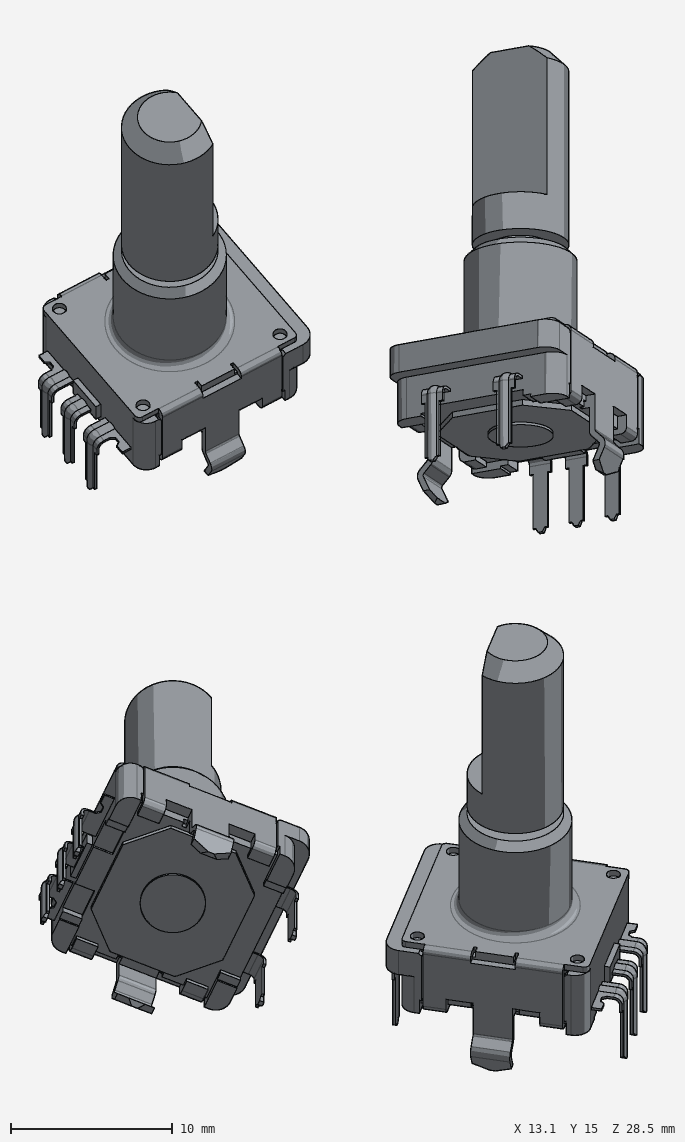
import cadquery as cq

shaft_top = 25.0
shaft_bottom = 12.57
shaft_radius = 3.0
shaft_chamfer = 1.0
flat_y = 1.48
flat_bottom = 15.0
neck_radius = 1.77
bushing_top = 12.0
bushing_radius = 3.5
bushing_chamfer = 0.5
bushing_fillet = 0.5

housing_width = 11.68
housing_half = housing_width / 2
housing_front = -5.98
housing_back = 6.0
housing_top = 4.55
corner_radius = 1.0
floor_z = 0.55
ledge_back = 7.0
ledge_bottom = 2.75
foot_inner_x = 3.82
foot_inner_y = 4.67
foot_step_top = 1.0
pocket_half_length = 4.53
pocket_flare = 0.2

opening_half = 3.3
opening_shoulder = 0.17
notch_inner_x = 1.4
notch_top = 0.75
pad_width = 2.55
pad_bottom = 1.03
pad_top = 2.25
pad_depth = 0.37

sheet = 0.4
cover_top = 5.0
cover_half_length = 4.45
cover_skirt_bottom = 1.37
bend_radius = 0.43
lid_half_width = 5.4
lid_back = 5.95
lid_corner = 0.28
lid_front_corner = 0.35
lid_hole_diameter = 0.85
lid_hole_x = 4.65
lid_hole_y = 5.1
relief_half_length = 1.42
relief_bottom = 4.4
slit_length = 0.45
slit_width = 0.2
crimp_inner_y = 3.0
crimp_bottom = 0.17
crimp_width = 1.15

plate_half_width = 4.7
plate_half_side = 2.2
base_disc_radius = 2.02

clip_width = 2.5
clip_knee_z = -1.03
clip_knee_inner_z = -1.2
clip_elbow_x = -6.67
clip_elbow_z = -1.85
clip_elbow_inner_x = -6.18
clip_elbow_inner_z = -1.95
clip_tip_x = -5.9
clip_tip_z = -3.5
clip_tip_inner_x = -5.53
clip_tip_inner_z = -3.33
clip_shoulder_z = -3.0
clip_tip_flat = 0.4
clip_bend_radius = 0.2
clip_recess_depth = 0.63
clip_notch_width = 0.28
clip_notch_depth = 0.28

terminal_bottom = -3.5
terminal_pitch = 2.5
terminal_front = -7.75
terminal_back = 7.2
terminal_sheet = 0.17
terminal_rib = 0.15
terminal_under_z = 1.28
terminal_inner_radius = 0.37
terminal_wide = 1.48
terminal_narrow = 1.0
terminal_shoulder_z = 0.37
terminal_flange_bottom = -3.22
rib_width = 0.65
rib_tip_width = 0.28
terminal_root = 0.57
ear_outer_x = 4.65
ear_depth = 0.65
ear_notch_depth = 0.28
ear_notch_outer_x = 4.02
ear_notch_outer_floor_x = 3.82
ear_notch_inner_floor_x = 3.45


def block(x0, x1, y0, y1, z0, z1):
    """Axis-aligned box between two opposite corners."""
    return cq.Workplane("XY").box(x1 - x0, y1 - y0, z1 - z0, centered=False).translate((x0, y0, z0))


def both_sides(shape):
    """The shape together with its mirror image across the YZ plane."""
    return shape.union(shape.mirror("YZ"))


def make_shaft():
    """Bushing, neck and flatted shaft."""
    bushing_foot = bushing_radius + bushing_fillet
    fillet_top = cover_top + bushing_fillet
    fillet_middle = bushing_fillet * (1 - 0.5 ** 0.5)
    shaft = (
        cq.Workplane("XZ")
        .moveTo(0, housing_top)
        .lineTo(bushing_foot, housing_top)
        .lineTo(bushing_foot, cover_top)
        .threePointArc((bushing_radius + fillet_middle, cover_top + fillet_middle), (bushing_radius, fillet_top))
        .lineTo(bushing_radius, bushing_top - bushing_chamfer)
        .lineTo(bushing_radius - bushing_chamfer, bushing_top)
        .lineTo(neck_radius, bushing_top)
        .lineTo(neck_radius, shaft_bottom)
        .lineTo(shaft_radius, shaft_bottom)
        .lineTo(shaft_radius, shaft_top - shaft_chamfer)
        .lineTo(shaft_radius - shaft_chamfer, shaft_top)
        .lineTo(0, shaft_top)
        .close()
        .revolve(360, (0, 0, 0), (0, 1, 0))
    )
    flat = block(-shaft_radius, shaft_radius, flat_y, shaft_radius, flat_bottom, shaft_top)
    return shaft.cut(flat)


def make_side_pocket():
    """Recess on the -X side of the housing that takes the cover skirt."""
    flare = pocket_half_length + pocket_flare
    flare_z = housing_top - pocket_flare
    outline = [
        (-foot_inner_y, 0),
        (-foot_inner_y, foot_step_top),
        (-pocket_half_length, foot_step_top),
        (-pocket_half_length, flare_z),
        (-flare, housing_top),
        (flare, housing_top),
        (pocket_half_length, flare_z),
        (pocket_half_length, foot_step_top),
        (foot_inner_y, foot_step_top),
        (foot_inner_y, 0),
    ]
    return cq.Workplane("YZ").polyline(outline).close().extrude(sheet).translate((-housing_half, 0, 0))


def make_housing():
    """Moulded housing with corner feet, a rear ledge and a pad on the front."""
    housing = block(-housing_half, housing_half, housing_front, housing_back, 0, housing_top)
    housing = housing.edges("|Z").fillet(corner_radius)
    ledge = block(-housing_half, housing_half, 0, ledge_back, ledge_bottom, housing_top)
    housing = housing.union(ledge.edges("|Z and >Y").fillet(corner_radius))

    housing = housing.cut(both_sides(make_side_pocket()))
    housing = housing.cut(block(-housing_half, housing_half, -foot_inner_y, foot_inner_y, 0, floor_z))

    housing = housing.cut(block(-foot_inner_x, foot_inner_x, housing_front, housing_back, 0, opening_shoulder))
    housing = housing.cut(block(-opening_half, opening_half, housing_front, housing_back, 0, floor_z))
    wall_notch = block(-opening_half, -notch_inner_x, housing_front, -foot_inner_y, 0, notch_top)
    housing = housing.cut(both_sides(wall_notch))

    pad = block(-pad_width / 2, pad_width / 2, housing_front - pad_depth, housing_front, pad_bottom, pad_top)
    return housing.union(pad)


def make_cover():
    """Lid with skirts bent down the sides and crimped under the housing."""
    lid = block(-lid_half_width, lid_half_width, housing_front, lid_back, housing_top, cover_top)
    lid = lid.edges("|Z and >Y").fillet(lid_corner)
    lid = lid.edges("|Z and <Y").fillet(lid_front_corner)

    skirt = block(
        -housing_half, housing_half, -cover_half_length, cover_half_length, cover_skirt_bottom, cover_top
    )
    skirt = skirt.edges("|Y and >Z").fillet(bend_radius)
    cover = lid.union(skirt)

    for side in (-1, 1):
        slit_y = side * (relief_half_length - slit_width / 2)
        slit = block(
            -lid_half_width,
            -lid_half_width + slit_length,
            slit_y - slit_width / 2,
            slit_y + slit_width / 2,
            housing_top,
            cover_top,
        )
        cover = cover.cut(both_sides(slit))

        crimp_y = sorted((side * crimp_inner_y, side * cover_half_length))
        crimp = block(
            -housing_half, -housing_half + crimp_width, *crimp_y, crimp_bottom, cover_skirt_bottom
        )
        crimp = crimp.edges("|Y and <Z and <X").fillet(bend_radius)
        cover = cover.union(both_sides(crimp))
    return cover


def make_base():
    """Eight-sided plate under the housing with a round boss reaching the mounting plane."""
    plate = block(
        -plate_half_width, plate_half_width, -cover_half_length, cover_half_length, crimp_bottom, floor_z
    )
    plate = plate.edges("|Z").chamfer(cover_half_length - plate_half_side)
    return plate.union(cq.Workplane("XY").circle(base_disc_radius).extrude(floor_z))


def make_clip():
    """Snap-in clip on the -X side: bent outward, then back in to a pointed tip."""
    outer = -housing_half
    inner = outer + sheet
    strip = (
        cq.Workplane("XZ")
        .polyline([
            (inner, cover_skirt_bottom),
            (outer, cover_skirt_bottom),
            (outer, clip_knee_z),
            (clip_elbow_x, clip_elbow_z),
            (clip_tip_x, clip_tip_z),
            (clip_tip_inner_x, clip_tip_inner_z),
            (clip_elbow_inner_x, clip_elbow_inner_z),
            (inner, clip_knee_inner_z),
        ])
        .close()
        .extrude(clip_width / 2, both=True)
    )
    outer_bend = clip_bend_radius + sheet
    corners = [
        (outer, clip_knee_z, clip_bend_radius),
        (inner, clip_knee_inner_z, outer_bend),
        (clip_elbow_x, clip_elbow_z, outer_bend),
        (clip_elbow_inner_x, clip_elbow_inner_z, clip_bend_radius),
    ]
    for x, z, radius in corners:
        strip = strip.edges(cq.selectors.NearestToPointSelector((x, 0, z))).fillet(radius)

    half = clip_width / 2
    front_outline = (
        cq.Workplane("YZ")
        .polyline([
            (-half, cover_skirt_bottom),
            (-half, clip_shoulder_z),
            (-clip_tip_flat / 2, clip_tip_z),
            (clip_tip_flat / 2, clip_tip_z),
            (half, clip_shoulder_z),
            (half, cover_skirt_bottom),
        ])
        .close()
        .extrude(clip_elbow_x)
    )
    return strip.intersect(front_outline)


def make_clip_recesses():
    """Recesses in the -X side beside the clip, each with a small deeper notch next to it."""
    half = clip_width / 2
    back = -housing_half + clip_recess_depth
    recesses = cq.Workplane("XY")
    for side in (-1, 1):
        recess_y = sorted((side * half, side * crimp_inner_y))
        recess = block(-housing_half, back, *recess_y, 0, cover_skirt_bottom)
        notch_y = sorted((side * half, side * (half + clip_notch_width)))
        notch = block(back, back + clip_notch_depth, *notch_y, floor_z, foot_step_top)
        recesses = recesses.union(recess).union(notch)
    return recesses


def make_lid_relief():
    """Gap in the -X bend of the cover, above the clip."""
    return block(
        -housing_half, -lid_half_width, -relief_half_length, relief_half_length, relief_bottom, cover_top
    )


def wall_plane(y):
    """Fresh workplane facing -Y at the given depth."""
    return cq.Workplane("XZ", origin=(0, y, 0))


def strip_section(plane):
    """Cross-section of the flat strip, drawn where the strip runs level."""
    half = terminal_wide / 2
    top = terminal_under_z + terminal_sheet
    return (
        plane.moveTo(-half, terminal_under_z)
        .lineTo(half, terminal_under_z)
        .lineTo(half, top)
        .lineTo(-half, top)
        .close()
    )


def rib_section(plane):
    """Cross-section of the rib: the strip thickness under a round crown."""
    half = rib_width / 2
    shoulder = terminal_under_z + terminal_sheet
    return (
        plane.moveTo(-half, terminal_under_z)
        .lineTo(half, terminal_under_z)
        .lineTo(half, shoulder)
        .threePointArc((0, shoulder + terminal_rib), (-half, shoulder))
        .close()
    )


def bend_down(section, wall, reach):
    """Run a cross-section out of the wall, round a quarter bend and down to the terminal tip."""
    bend_y = reach + terminal_rib + terminal_sheet + terminal_inner_radius
    bend_z = terminal_under_z - terminal_inner_radius
    axis_start = (0, bend_y, bend_z)
    axis_end = (1, bend_y, bend_z)

    level = section(wall_plane(wall)).extrude(wall - bend_y)
    bend = section(wall_plane(bend_y)).revolve(90, (0, bend_z, 0), (1, bend_z, 0))
    leg = section(wall_plane(bend_y)).extrude(bend_z - terminal_bottom)
    return level.union(bend).union(leg.rotate(axis_start, axis_end, 90))


def make_terminal(reach):
    """Terminal leaving the front wall at x = 0 as far as y = reach: a stepped strip with a round rib."""
    wall = housing_front + terminal_root
    wide = terminal_wide / 2
    narrow = terminal_narrow / 2
    rib = rib_width / 2
    rib_tip = rib_tip_width / 2
    top = terminal_under_z + terminal_sheet + terminal_rib
    strip_outline = wall_plane(wall).polyline([
        (-wide, top),
        (-wide, terminal_shoulder_z),
        (-narrow, terminal_shoulder_z),
        (-narrow, terminal_flange_bottom),
        (narrow, terminal_flange_bottom),
        (narrow, terminal_shoulder_z),
        (wide, terminal_shoulder_z),
        (wide, top),
    ]).close()
    rib_outline = wall_plane(wall).polyline([
        (-rib, top),
        (-rib, terminal_flange_bottom),
        (-rib_tip, terminal_bottom),
        (rib_tip, terminal_bottom),
        (rib, terminal_flange_bottom),
        (rib, top),
    ]).close()
    depth = wall - reach
    strip = bend_down(strip_section, wall, reach).intersect(strip_outline.extrude(depth))
    ridge = bend_down(rib_section, wall, reach).intersect(rib_outline.extrude(depth))
    return strip.union(ridge)


def make_ear():
    """Flat ear beside the -X front terminal, with a relief notch in its front edge."""
    inner_x = -terminal_pitch - terminal_wide / 2
    front = housing_front - ear_depth
    notch_floor = front + ear_notch_depth
    return (
        cq.Workplane("XY", origin=(0, 0, terminal_under_z))
        .polyline([
            (-ear_outer_x, housing_front + terminal_root),
            (-ear_outer_x, front),
            (-ear_notch_outer_x, front),
            (-ear_notch_outer_floor_x, notch_floor),
            (-ear_notch_inner_floor_x, notch_floor),
            (inner_x, front),
            (inner_x, housing_front + terminal_root),
        ])
        .close()
        .extrude(terminal_sheet)
    )


def make_terminals():
    """Three terminals with ears at the front and two at the back."""
    front_terminal = make_terminal(terminal_front)
    rear_terminal = make_terminal(-terminal_back).mirror("XZ")
    terminals = front_terminal.union(both_sides(make_ear()))
    for side in (-1, 1):
        offset = (side * terminal_pitch, 0, 0)
        terminals = terminals.union(front_terminal.translate(offset))
        terminals = terminals.union(rear_terminal.translate(offset))
    return terminals


def make_lid_holes():
    """Four blind holes through the lid, near its corners."""
    return (
        cq.Workplane("XY", origin=(0, 0, housing_top))
        .rect(2 * lid_hole_x, 2 * lid_hole_y, forConstruction=True)
        .vertices()
        .circle(lid_hole_diameter / 2)
        .extrude(cover_top - housing_top)
    )


body = make_housing().union(make_cover())
body = body.cut(both_sides(make_clip_recesses()))
body = body.cut(both_sides(make_lid_relief())).cut(make_lid_holes())
body = body.union(make_base()).union(make_shaft())
result = body.union(both_sides(make_clip())).union(make_terminals()).clean()